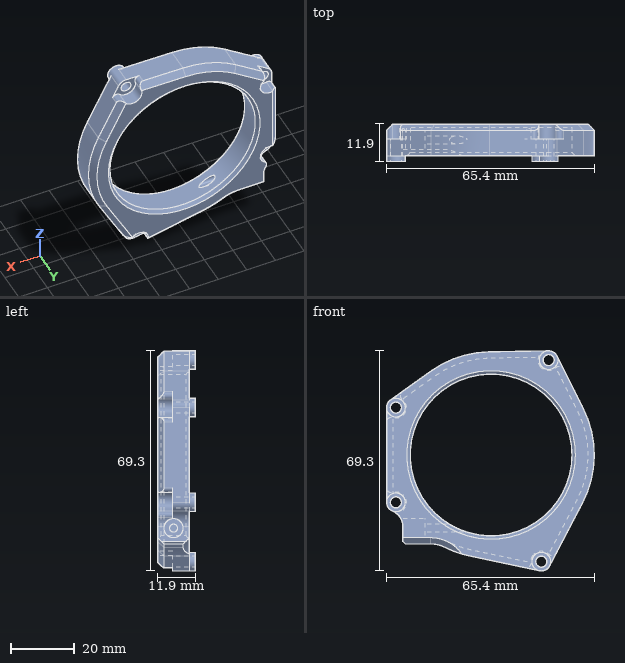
import cadquery as cq
import math


plate_thickness = 10.0
ring_radius = 32.5
bore_radius = 25.4
bore_chamfer = 1.1
edge_chamfer = 2.0
chamfer_angle = 45.0

boss_radius = 2.95
boss_height = 1.85
bolt_hole_radius = 1.7
upper_left = (-29.95, 14.9)
upper_right = (18.1, 29.85)
lower_right = (15.8, -33.55)
lower_left = (-29.95, -14.9)
bolts = [upper_left, upper_right, lower_right, lower_left]

recess_radius = 3.3
recess_depth = 4.65
recess_mouth_fillet = 1.5

block_left = -27.8
block_bottom = -28.0
block_corner = 0.85
block_ring_fillet = 10.0
block_boss_fillet = 5.3
screw_z = -23.0
screw_y = plate_thickness / 2
screw_hole_radius = 1.25
screw_head_radius = 3.0
screw_head_depth = 7.0

plate_left = upper_left[0] - boss_radius
ring_centre = (0.0, 0.0)

ring_fillet_centre = (
    -math.sqrt((ring_radius + block_ring_fillet) ** 2 - (block_bottom - block_ring_fillet) ** 2),
    block_bottom - block_ring_fillet,
)

boss_fillet_x = block_left - block_boss_fillet
boss_fillet_drop = math.sqrt(
    (boss_radius + block_boss_fillet) ** 2 - (boss_fillet_x - lower_left[0]) ** 2
)
boss_fillet_centre = (boss_fillet_x, lower_left[1] - boss_fillet_drop)


def point_towards(centre, target, distance):
    """Point at a given distance from centre, in the direction of target."""
    dx = target[0] - centre[0]
    dz = target[1] - centre[1]
    length = math.hypot(dx, dz)
    return (centre[0] + distance * dx / length, centre[1] + distance * dz / length)


def outer_tangent(centre_a, radius_a, centre_b, radius_b):
    """Ends of the tangent line on the left-hand side when going from circle a to circle b."""
    dx = centre_b[0] - centre_a[0]
    dz = centre_b[1] - centre_a[1]
    length = math.hypot(dx, dz)
    along = (radius_a - radius_b) / length
    across = math.sqrt(1 - along**2)
    normal_x = (along * dx - across * dz) / length
    normal_z = (along * dz + across * dx) / length
    return (
        (centre_a[0] + radius_a * normal_x, centre_a[1] + radius_a * normal_z),
        (centre_b[0] + radius_b * normal_x, centre_b[1] + radius_b * normal_z),
    )


def arc_to(path, centre, radius, start, end):
    """Add the shorter arc about centre that leads from start to end."""
    chord_middle = ((start[0] + end[0]) / 2, (start[1] + end[1]) / 2)
    return path.threePointArc(point_towards(centre, chord_middle, radius), end)


ring = (ring_centre, ring_radius)
reach_ul = (plate_left, upper_left[1])
leave_ul, reach_top = outer_tangent(upper_left, boss_radius, *ring)
leave_top, reach_ur = outer_tangent(*ring, upper_right, boss_radius)
leave_ur, reach_side = outer_tangent(upper_right, boss_radius, *ring)
leave_side, reach_lr = outer_tangent(*ring, lower_right, boss_radius)
leave_lr, reach_base = outer_tangent(lower_right, boss_radius, *ring)

leave_base = point_towards(ring_centre, ring_fillet_centre, ring_radius)
reach_block = (ring_fillet_centre[0], block_bottom)
leave_block = (block_left, boss_fillet_centre[1])
reach_ll = point_towards(boss_fillet_centre, lower_left, block_boss_fillet)
leave_ll = (plate_left, lower_left[1])

bolt_corners = [
    (upper_left, reach_ul, leave_ul),
    (upper_right, reach_ur, leave_ur),
    (lower_right, reach_lr, leave_lr),
    (lower_left, reach_ll, leave_ll),
]


def outline_to_block():
    """Clockwise outline from the left side, over the ring and bolts, to the block underside."""
    path = cq.Workplane("XZ").moveTo(*reach_ul)
    path = arc_to(path, upper_left, boss_radius, reach_ul, leave_ul).lineTo(*reach_top)
    path = arc_to(path, ring_centre, ring_radius, reach_top, leave_top).lineTo(*reach_ur)
    path = arc_to(path, upper_right, boss_radius, reach_ur, leave_ur).lineTo(*reach_side)
    path = arc_to(path, ring_centre, ring_radius, reach_side, leave_side).lineTo(*reach_lr)
    path = arc_to(path, lower_right, boss_radius, reach_lr, leave_lr).lineTo(*reach_base)
    path = arc_to(path, ring_centre, ring_radius, reach_base, leave_base)
    return arc_to(path, ring_fillet_centre, block_ring_fillet, leave_base, reach_block)


def plate():
    """Plain plate with the full outline."""
    path = outline_to_block()
    path = path.lineTo(block_left + block_corner, block_bottom)
    path = path.lineTo(block_left, block_bottom + block_corner)
    path = path.lineTo(*leave_block)
    path = arc_to(path, boss_fillet_centre, block_boss_fillet, leave_block, reach_ll)
    path = arc_to(path, lower_left, boss_radius, reach_ll, leave_ll)
    return path.close().extrude(-plate_thickness)


def chamfered_envelope():
    """Back-chamfered plate filled out to a square lower left corner, beside the block."""
    path = outline_to_block().lineTo(plate_left, block_bottom)
    envelope = path.close().extrude(-plate_thickness)
    return envelope.faces(">Y").edges().chamfer(edge_chamfer)


def cut_bolt_recesses(body):
    """Round recesses around the bolts, open to the side through rounded mouths."""
    recess_floor = plate_thickness - recess_depth
    cutters = (
        cq.Workplane("XZ", origin=(0, recess_floor, 0))
        .pushPoints(bolts)
        .circle(recess_radius)
        .extrude(-recess_depth)
    )
    body = body.cut(cutters)
    half_zone = recess_radius + recess_mouth_fillet
    for x, z in bolts:
        zone = cq.selectors.BoxSelector(
            (x - half_zone, recess_floor, z - half_zone),
            (x + half_zone, plate_thickness, z + half_zone),
        )
        body = body.edges("|Y").edges(zone).fillet(recess_mouth_fillet)
    return body


def block_front_chamfer():
    """Cutter for the front chamfer along the block underside and its blend into the ring."""
    cone = (
        cq.Workplane("XZ")
        .center(*ring_fillet_centre)
        .circle(block_ring_fillet + edge_chamfer)
        .extrude(-edge_chamfer, taper=chamfer_angle)
    )
    wedge = (
        cq.Workplane("YZ", origin=(block_left, 0, 0))
        .moveTo(0, block_bottom)
        .lineTo(0, block_bottom + edge_chamfer)
        .lineTo(edge_chamfer, block_bottom)
        .close()
        .extrude(ring_fillet_centre[0] - block_left)
    )
    return wedge, cone


def bore():
    """Cutter for the ring bore, chamfered at both ends."""
    hole = cq.Workplane("XZ").circle(bore_radius).extrude(-plate_thickness)
    mouth_radius = bore_radius + bore_chamfer
    front = cq.Workplane("XZ").circle(mouth_radius).extrude(-bore_chamfer, taper=chamfer_angle)
    back = (
        cq.Workplane("XZ", origin=(0, plate_thickness, 0))
        .circle(mouth_radius)
        .extrude(bore_chamfer, taper=chamfer_angle)
    )
    return hole.union(front).union(back)


def screw_hole():
    """Cutter for the counterbored hole that runs along X from the block side into the bore."""
    start = cq.Workplane("YZ", origin=(plate_left, screw_y, screw_z))
    head = start.circle(screw_head_radius).extrude(block_left + screw_head_depth - plate_left)
    shank = start.circle(screw_hole_radius).extrude(-plate_left)
    return head.union(shank)


def boss(centre, arc_start, arc_end):
    """Bolt boss in front of the plate, its circle split where the outline joins it."""
    chord_middle = ((arc_start[0] + arc_end[0]) / 2, (arc_start[1] + arc_end[1]) / 2)
    path = cq.Workplane("XZ").moveTo(*arc_start)
    path = arc_to(path, centre, boss_radius, arc_start, arc_end)
    path = path.threePointArc(point_towards(centre, chord_middle, -boss_radius), arc_start)
    return path.close().extrude(boss_height)


def bolt_holes():
    """Cutter for the holes through the bosses and the plate."""
    return (
        cq.Workplane("XZ", origin=(0, -boss_height, 0))
        .pushPoints(bolts)
        .circle(bolt_hole_radius)
        .extrude(-(boss_height + plate_thickness))
    )


body = cut_bolt_recesses(plate()).intersect(chamfered_envelope())
for cutter in block_front_chamfer():
    body = body.cut(cutter)
body = body.cut(bore()).cut(screw_hole())

for corner in bolt_corners:
    body = body.union(boss(*corner))
result = body.cut(bolt_holes())